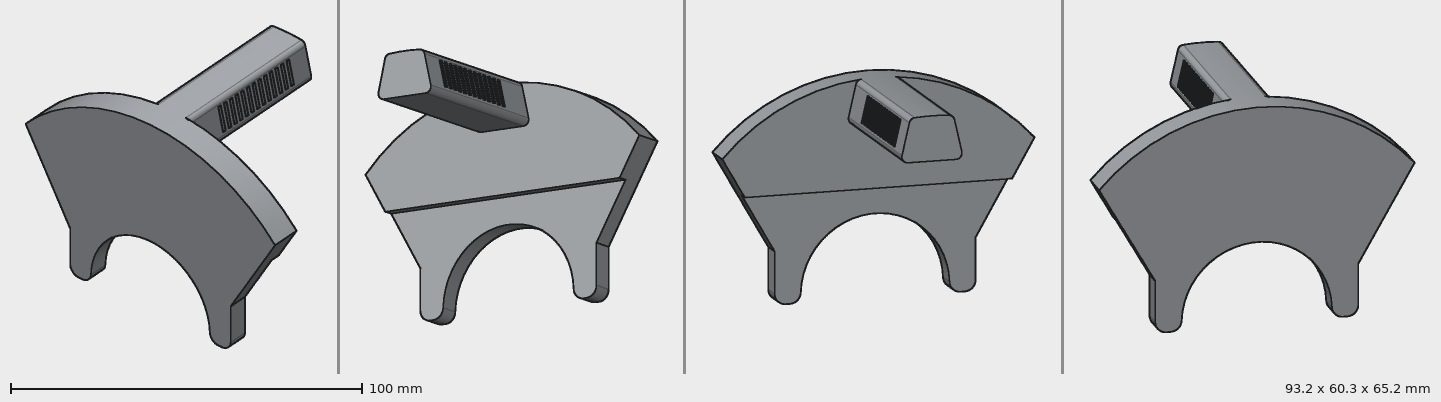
import cadquery as cq
import math

overall_width = 93.24
overall_depth = 60.33
overall_height = 65.21
outer_radius = 62.7
opening_radius = 22.2
leg_half_span = 30.0
side_angle = 60.0
leg_tip_radius = 3.3
plate_thickness = 9.5
lower_thickness = 6.4
step_drop = 32.4

handle_height = 13.25
handle_half_width = 8.97
handle_side_tilt = 13.0
handle_edge_radius = 1.8

rib_count = 13
rib_pitch = 2.5
rib_width = 1.1
rib_length = 8.0
rib_height = 0.2
rib_end_margin = 7.55
rib_drop = 6.2

half_width = overall_width / 2
leg_bottom = outer_radius - overall_height
step_level = outer_radius - step_drop
corner_level = math.sqrt(outer_radius**2 - half_width**2)
slant_drop = (half_width - leg_half_span) * math.tan(math.radians(side_angle))
shoulder_level = corner_level - slant_drop
handle_bottom = outer_radius - handle_height
tilt = math.radians(handle_side_tilt)


def make_plate():
    """Full-thickness sector with legs, thinned from behind below the step."""
    plate = (
        cq.Workplane("XZ")
        .moveTo(-half_width, corner_level)
        .threePointArc((0, outer_radius), (half_width, corner_level))
        .lineTo(leg_half_span, shoulder_level)
        .lineTo(leg_half_span, leg_bottom)
        .lineTo(opening_radius, leg_bottom)
        .lineTo(opening_radius, 0)
        .threePointArc((0, opening_radius), (-opening_radius, 0))
        .lineTo(-opening_radius, leg_bottom)
        .lineTo(-leg_half_span, leg_bottom)
        .lineTo(-leg_half_span, shoulder_level)
        .close()
        .extrude(-plate_thickness)
    )
    plate = plate.faces("<Z").edges("|Y").fillet(leg_tip_radius)
    relief = (
        cq.Workplane("XY")
        .box(
            overall_width,
            plate_thickness - lower_thickness,
            step_level - leg_bottom,
            centered=(True, False, False),
        )
        .translate((0, lower_thickness, leg_bottom))
    )
    return plate.cut(relief)


def handle_side_x(z):
    """Half width of the handle's flat tilted side at height z."""
    round_centre_x = handle_half_width - handle_edge_radius
    round_centre_z = handle_bottom + handle_edge_radius
    side_offset = handle_edge_radius / math.cos(tilt)
    return round_centre_x + side_offset - (z - round_centre_z) * math.tan(tilt)


def make_handle():
    """Tapered bar trimmed by the outer arc, rounded along its four long edges."""
    bottom_x = handle_side_x(handle_bottom)
    top_x = handle_side_x(outer_radius)
    bar = (
        cq.Workplane("XZ")
        .moveTo(-bottom_x, handle_bottom)
        .lineTo(bottom_x, handle_bottom)
        .lineTo(top_x, outer_radius)
        .lineTo(-top_x, outer_radius)
        .close()
        .extrude(-overall_depth)
    )
    arc_envelope = cq.Workplane("XZ").circle(outer_radius).extrude(-overall_depth)
    handle = bar.intersect(arc_envelope).edges("|Y").fillet(handle_edge_radius)
    return handle.intersect(
        cq.Workplane("XZ", origin=(0, lower_thickness, 0))
        .circle(outer_radius)
        .extrude(lower_thickness - overall_depth)
    )


def make_rib(side, index):
    """One grip rib, half sunk into the handle side (side is +1 or -1)."""
    y = overall_depth - rib_end_margin - rib_width / 2 - index * rib_pitch
    z = outer_radius - rib_drop
    return (
        cq.Workplane("XY")
        .box(2 * rib_height, rib_width, rib_length)
        .rotate((0, 0, 0), (0, 1, 0), -side * handle_side_tilt)
        .translate((side * handle_side_x(z), y, z))
    )


result = make_plate().union(make_handle())
for side in (1, -1):
    for index in range(rib_count):
        result = result.union(make_rib(side, index))